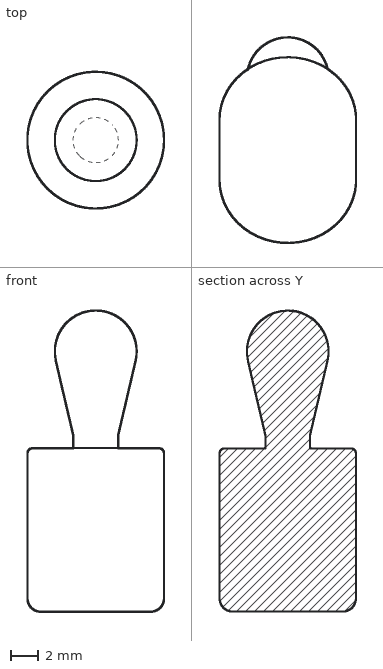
import cadquery as cq
import math

body_diameter = 10.0
body_height = 11.95
bottom_fillet = 1.0
top_fillet = 0.4

neck_diameter = 3.3
neck_height = 0.95
ball_radius = 3.0
total_height = 22.0

body_radius = body_diameter / 2
neck_radius = neck_diameter / 2
neck_top = body_height + neck_height
ball_center = total_height - ball_radius


def make_body():
    """Cylinder standing on Z = 0 with both rims rounded."""
    body = cq.Workplane("XY").circle(body_radius).extrude(body_height)
    body = body.faces("<Z").edges().fillet(bottom_fillet)
    return body.faces(">Z").edges().fillet(top_fillet)


def make_handle():
    """Revolved neck, cone and ball; the cone runs tangent into the ball."""
    drop_to_neck = ball_center - neck_top
    neck_distance = math.hypot(neck_radius, drop_to_neck)
    neck_angle = math.atan2(-drop_to_neck, neck_radius)
    tangent_angle = neck_angle + math.acos(ball_radius / neck_distance)
    middle_angle = (tangent_angle + math.pi / 2) / 2

    def ball_point(angle):
        return (
            ball_radius * math.cos(angle),
            ball_center + ball_radius * math.sin(angle),
        )

    profile = (
        cq.Workplane("XZ")
        .moveTo(0, body_height)
        .lineTo(neck_radius, body_height)
        .lineTo(neck_radius, neck_top)
        .lineTo(*ball_point(tangent_angle))
        .threePointArc(ball_point(middle_angle), (0, total_height))
        .close()
    )
    return profile.revolve(360, (0, 0, 0), (0, 1, 0))


result = make_body().union(make_handle())